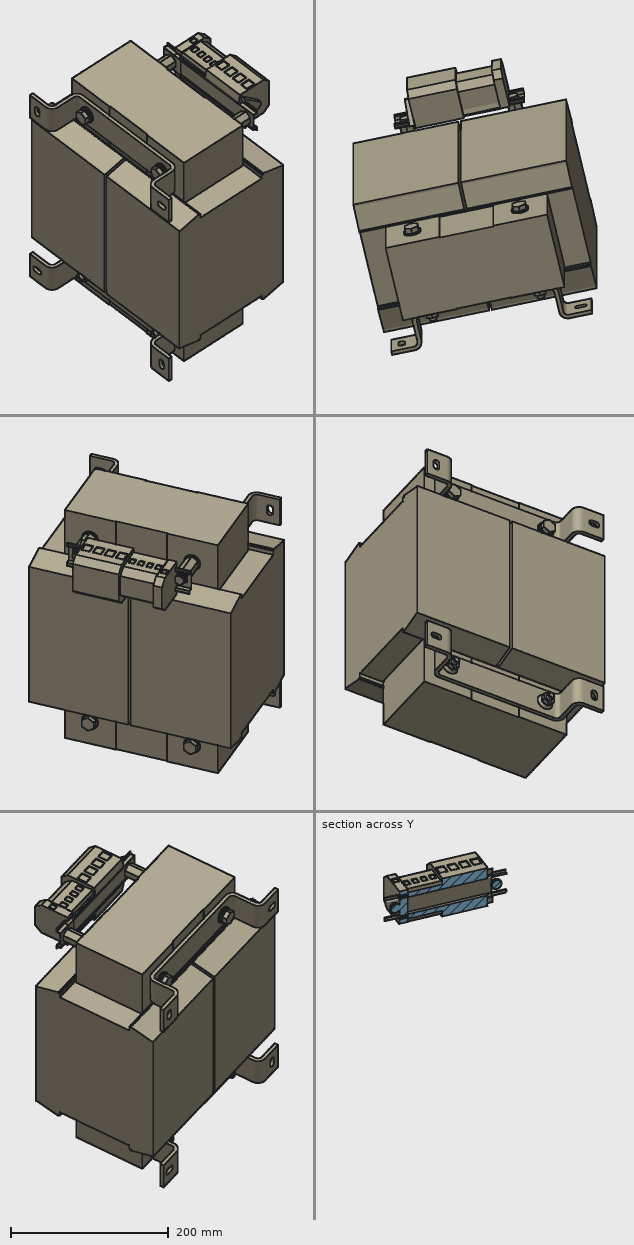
import cadquery as cq
import math

mid_y = -20.3

core_height = 350
leg_width = 70
core_width = 3 * leg_width
core_half_depth = 50.8
seam_recess = 1.0
yoke_z = core_height / 2 - leg_width / 2
leg_x = leg_width

coil_span = 277.0
coil_gap = 3.5
coil_half_height = 103.5
coil_half_depth = 89.5
coil_rim = 3.0
crest_z = 111.3
crest_outer = 55.3
crest_inner = 53.0
crest_step = 1.8

sheet = 5.2
bend_radius = 6.0
bracket_height = 39.5
foot_y = -120.5
foot_end_x = 130.2
arm_x = 95.0
slot_x = 116.5
slot_length = 14.7
slot_width = 8.5

washer_radius = 11.0
washer_thickness = 2.5
spring_washer_radius = 9.5
hex_flats = 16.8
head_height = 6.5
nut_flats = 14.7
nut_height = 10.5
nut_cone_radius = 8.0
stud_radius = 4.5
stud_length = 16.8
stud_chamfer = 1.0
rear_washer_thickness = 1.8

rail_y = 68.0
rail_half_length = 84
rail_depth = 7.0
rail_sheet = 1.0
rail_half_width = 17.5
hat_half_width = 27.0 / 2
screw_radius = 13.0 / 2
screw_washer_radius = 7.0

blocks_start_x = -65.0
narrow_width = 12.0
wide_width = 15.8
block_count = 4
pocket_depth = 1.5
chamfer_drop = 8.5
chamfer_start_y = 110.2
block_foot_y = 67.5

foot_top = 18.5
end_top = 25.0
end_rear_y = 70.5
end_front_y = 120.5
narrow_top = 23.0
narrow_shoulder_y = 70.5
narrow_lip_y = 71.8
narrow_lip_top = 25.0
narrow_lip_front_y = 78.5
narrow_chamfer_y = 103.5
narrow_front_y = 114.0
wide_top = 29.0
wide_rear_y = 69.3
wide_front_y = 119.7
end_stop_width = 7.5
end_stop_rear_y = 71.8
end_stop_front_y = 99.5
end_stop_top = 25.5
end_stop_tip = 1.8

end_pocket = (6.5, 92.8, 100.8, end_top)
narrow_pocket = (6.5, 83.5, 92.8, narrow_top)
wide_pocket = (11.0, 83.5, 97.0, wide_top)

core_front = mid_y - core_half_depth
core_back = mid_y + core_half_depth
bracket_front = core_front - sheet
coil_half_span = coil_span / 2
flange_y = rail_y + rail_depth
narrow_start_x = blocks_start_x + narrow_width
wide_start_x = narrow_start_x + block_count * narrow_width
end_stop_x = wide_start_x + block_count * wide_width


def box(x0, x1, y0, y1, z0, z1):
    """Box between two opposite corners."""
    return cq.Workplane("XY").box(x1 - x0, y1 - y0, z1 - z0, centered=False).translate((x0, y0, z0))


def along_x(outline, x0, length):
    """Extrude a (y, z) outline in +X."""
    return cq.Workplane("YZ", origin=(x0, 0, 0)).polyline(outline).close().extrude(length)


def mirrored_outline(upper, centre_z):
    """Close an outline of (y, height above centre) points with its mirror image below."""
    top = [(y, centre_z + h) for y, h in upper]
    bottom = [(y, centre_z - h) for y, h in reversed(upper)]
    return top + bottom


def disc(x, y, z, radius, length):
    """Cylinder from y, along +Y for a positive length and -Y for a negative one."""
    return cq.Workplane("XZ", origin=(x, y, z)).circle(radius).extrude(-length)


def hexagon(x, y, z, length, flats=hex_flats):
    """Hexagonal bar along Y with corners pointing up and down."""
    bar = cq.Workplane("XZ", origin=(x, y, z)).polygon(6, flats / math.cos(math.pi / 6)).extrude(-length)
    return bar.rotate((x, y, z), (x, y + 3.5, z), 90)


def core():
    half_width = core_width / 2
    half_height = core_height / 2
    body = box(-half_width, half_width, core_front, core_back, -half_height, half_height)
    half_window = leg_width / 2
    half_opening = half_height - leg_width
    body = body.cut(box(-half_window, half_window, core_front, core_back, -half_opening, half_opening))
    for y in (core_front, core_back - seam_recess):
        body = body.cut(box(-half_window, half_window, y, y + seam_recess, -half_height, half_height))
    return body


def coils():
    quarter = [
        (coil_half_depth, coil_half_height),
        (coil_half_depth - coil_rim, coil_half_height),
        (crest_outer, crest_z),
        (crest_outer, crest_z - crest_step),
        (crest_inner, crest_z - crest_step),
        (crest_inner, coil_half_height),
    ]
    upper = [(mid_y + d, h) for d, h in quarter]
    upper += [(mid_y - d, h) for d, h in reversed(quarter)]
    outline = mirrored_outline(upper, 0)
    length = coil_half_span - coil_gap / 2
    return along_x(outline, coil_gap / 2, length).union(along_x(outline, -coil_half_span, length))


def bracket(z, upright_slot_side):
    """Bent strap; one foot has an upright slot and the other a level slot."""
    arm_inner_x = arm_x - sheet
    outer_radius = bend_radius + sheet
    foot_back = foot_y + sheet
    half = [
        (0, core_front),
        (arm_x, core_front),
        (arm_x, foot_back),
        (foot_end_x, foot_back),
        (foot_end_x, foot_y),
        (arm_inner_x, foot_y),
        (arm_inner_x, bracket_front),
        (0, bracket_front),
    ]
    strap = cq.Workplane("XY").polyline(half).close().extrude(bracket_height)

    bends = [
        (arm_x, core_front, outer_radius),
        (arm_inner_x, bracket_front, bend_radius),
        (arm_x, foot_back, bend_radius),
        (arm_inner_x, foot_y, outer_radius),
    ]
    for x, y, radius in bends:
        corner = cq.selectors.NearestToPointSelector((x, y, bracket_height / 2))
        strap = strap.edges("|Z").edges(corner).fillet(radius)
    strap = strap.union(strap.mirror("YZ")).translate((0, 0, z - bracket_height / 2))
    for side in (-1, 1):
        angle = 90 if side == upright_slot_side else 0
        slot = cq.Workplane("XZ", origin=(side * slot_x, foot_back, z)).slot2D(slot_length, slot_width, angle)
        strap = strap.cut(slot.extrude(sheet))
    return strap


def front_bolt(x):
    """Upper front: washer, spring washer and hexagon head."""
    spring_y = bracket_front - washer_thickness
    head_y = spring_y - washer_thickness
    bolt = disc(x, bracket_front, yoke_z, washer_radius, -washer_thickness)
    bolt = bolt.union(disc(x, spring_y, yoke_z, spring_washer_radius, -washer_thickness))
    return bolt.union(hexagon(x, head_y, yoke_z, -head_height))


def front_nut(x):
    """Lower front: washer, conical nut flange, hexagon nut and stud end."""
    flange = cq.Workplane("XZ", origin=(x, bracket_front, -yoke_z)).circle(washer_radius)
    flange = flange.workplane(offset=2 * washer_thickness).circle(nut_cone_radius).loft()
    nut = hexagon(x, bracket_front, -yoke_z, -nut_height, nut_flats)
    stud = disc(x, bracket_front, -yoke_z, stud_radius, -stud_length).faces("<Y").chamfer(stud_chamfer)
    return flange.union(nut).union(stud)


def rear_fasteners(x):
    """Standoff that carries the rail above, bolt head below."""
    parts = cq.Workplane("XY")
    for z in (yoke_z, -yoke_z):
        parts = parts.union(disc(x, core_back, z, washer_radius, rear_washer_thickness))
    parts = parts.union(hexagon(x, core_back, yoke_z, rail_y - core_back))
    return parts.union(hexagon(x, core_back, -yoke_z, rear_washer_thickness + head_height))


def rail():
    upper = [
        (rail_y, hat_half_width),
        (flange_y - rail_sheet, hat_half_width),
        (flange_y - rail_sheet, rail_half_width),
        (flange_y, rail_half_width),
        (flange_y, hat_half_width - rail_sheet),
        (rail_y + rail_sheet, hat_half_width - rail_sheet),
    ]
    body = along_x(mirrored_outline(upper, yoke_z), -rail_half_length, 2 * rail_half_length)
    for x in (-leg_x, leg_x):
        body = body.union(disc(x, rail_y, yoke_z, screw_washer_radius, rail_depth / 2))
        body = body.union(disc(x, rail_y, yoke_z, screw_radius, rail_depth))
    return body


def block(x, width, upper, pocket):
    """Terminal block with a shallow rectangular recess in its top."""
    pocket_width, pocket_y0, pocket_y1, top = pocket
    body = along_x(mirrored_outline(upper, yoke_z), x, width)
    pocket_x = x + (width - pocket_width) / 2
    top_z = yoke_z + top
    recess = box(pocket_x, pocket_x + pocket_width, pocket_y0, pocket_y1, top_z - pocket_depth, top_z)
    return body.cut(recess)


def end_block():
    """Block that fills the hat of the rail and rests on its flanges."""
    outline = [
        (rail_y, hat_half_width),
        (flange_y, hat_half_width),
        (flange_y, rail_half_width),
        (end_rear_y, rail_half_width),
        (end_rear_y, end_top),
        (chamfer_start_y, end_top),
        (end_front_y, end_top - chamfer_drop),
    ]
    return block(blocks_start_x, narrow_width, outline, end_pocket)


def narrow_block(x):
    outline = [
        (flange_y, hat_half_width),
        (block_foot_y, hat_half_width),
        (block_foot_y, foot_top),
        (narrow_shoulder_y, foot_top),
        (narrow_lip_y, narrow_lip_top),
        (narrow_lip_front_y, narrow_top),
        (narrow_chamfer_y, narrow_top),
        (narrow_front_y, narrow_top - chamfer_drop),
    ]
    return block(x, narrow_width, outline, narrow_pocket)


def wide_block(x):
    outline = [
        (flange_y, hat_half_width),
        (block_foot_y, hat_half_width),
        (block_foot_y, foot_top),
        (wide_rear_y, wide_top),
        (chamfer_start_y, wide_top),
        (wide_front_y, wide_top - chamfer_drop),
    ]
    return block(x, wide_width, outline, wide_pocket)


def end_stop():
    """Wedge that closes the row."""
    outline = [
        (flange_y, rail_half_width),
        (end_stop_rear_y, rail_half_width),
        (end_stop_rear_y, end_stop_top),
        (end_stop_front_y, end_stop_tip),
    ]
    return along_x(mirrored_outline(outline, yoke_z), end_stop_x, end_stop_width)


def terminals():
    """Row of blocks whose faces stay separate, so the joints between blocks remain visible."""
    row = end_block()
    for i in range(block_count):
        row = row.union(narrow_block(narrow_start_x + i * narrow_width), clean=False)
    for i in range(block_count):
        row = row.union(wide_block(wide_start_x + i * wide_width), clean=False)
    return row.union(end_stop(), clean=False)


result = core().union(coils())
result = result.union(bracket(yoke_z, -1)).union(bracket(-yoke_z, 1))
for bolt_x in (-leg_x, leg_x):
    result = result.union(front_bolt(bolt_x)).union(front_nut(bolt_x)).union(rear_fasteners(bolt_x))
result = result.union(rail()).union(terminals(), clean=False)